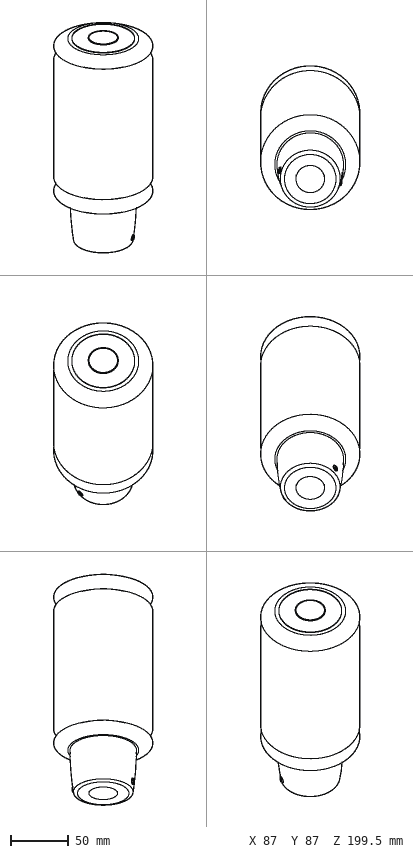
import cadquery as cq
import math

total_height = 199.5
body_diameter = 87.0
bore_diameter = 25.0

rim_diameter = 26.3
disc_diameter = 55.0
step_height = 0.5

neck_diameter = 62.2
flange_height = 14.2
cone_angle = 27.0
edge_radius = 1.2

plug_height = 41.9
plug_top_diameter = 58.2
plug_end_diameter = 52.3
bottom_diameter = 45.0
bottom_bevel_height = 1.2

pin_diameter = 5.5
pin_tip_radius = 28.1
pin_chamfer = 0.8
pin_height = 7.5

body_radius = body_diameter / 2
neck_radius = neck_diameter / 2
cone_slope = math.tan(math.radians(cone_angle))
lower_neck_z = plug_height + flange_height
flange_top_z = total_height - 2 * step_height
upper_neck_z = flange_top_z - flange_height


def revolve_profile(profile):
    """Close a radius-height outline and turn it around the Z axis."""
    return profile.close().revolve(360, (0, 0, 0), (0, 1, 0))


def cylinder(diameter, bottom_z, height):
    return cq.Workplane("XY").workplane(offset=bottom_z).circle(diameter / 2).extrude(height)


def make_flange(bottom_z):
    """Double cone whose outer edge is rounded down to the body radius."""
    half_height = flange_height / 2
    mid_z = bottom_z + half_height
    angle = math.radians(cone_angle)
    arc_center_radius = body_radius - edge_radius
    tangent_radius = arc_center_radius + edge_radius * math.sin(angle)
    tangent_rise = edge_radius * math.cos(angle)
    cone_end_radius = tangent_radius - (half_height - tangent_rise) / cone_slope
    return revolve_profile(
        cq.Workplane("XZ")
        .moveTo(0, bottom_z)
        .lineTo(cone_end_radius, bottom_z)
        .lineTo(tangent_radius, mid_z - tangent_rise)
        .threePointArc((body_radius, mid_z), (tangent_radius, mid_z + tangent_rise))
        .lineTo(cone_end_radius, bottom_z + flange_height)
        .lineTo(0, bottom_z + flange_height)
    )


def make_body():
    """Cylinder with a cone at each end and rounded cone edges."""
    cone_height = (body_radius - neck_radius) * cone_slope
    body = revolve_profile(
        cq.Workplane("XZ")
        .moveTo(0, lower_neck_z)
        .lineTo(neck_radius, lower_neck_z)
        .lineTo(body_radius, lower_neck_z + cone_height)
        .lineTo(body_radius, upper_neck_z - cone_height)
        .lineTo(neck_radius, upper_neck_z)
        .lineTo(0, upper_neck_z)
    )
    outer_edges = cq.selectors.RadiusNthSelector(-1)
    return body.edges("%CIRCLE").edges(outer_edges).fillet(edge_radius)


def plug_curve_midpoint():
    """Point halfway up the curved plug side, on an arc that is vertical at the flange."""
    curve_height = plug_height - bottom_bevel_height
    inset = (plug_top_diameter - plug_end_diameter) / 2
    arc_radius = (curve_height**2 + inset**2) / (2 * inset)
    half_height = curve_height / 2
    half_inset = arc_radius - math.sqrt(arc_radius**2 - half_height**2)
    return plug_top_diameter / 2 - half_inset, plug_height - half_height


def make_plug():
    """Plug that leaves the flange upright and curves inwards to its end."""
    top_radius = plug_top_diameter / 2
    return revolve_profile(
        cq.Workplane("XZ")
        .moveTo(0, 0)
        .lineTo(bottom_diameter / 2, 0)
        .lineTo(plug_end_diameter / 2, bottom_bevel_height)
        .threePointArc(plug_curve_midpoint(), (top_radius, plug_height))
        .lineTo(0, plug_height)
    )


part = make_plug().union(make_flange(plug_height)).union(make_body()).union(make_flange(upper_neck_z))

part = part.union(cylinder(disc_diameter, flange_top_z, step_height))
part = part.union(cylinder(rim_diameter, flange_top_z, 2 * step_height))

pin = (
    cq.Workplane("YZ")
    .center(0, pin_height)
    .circle(pin_diameter / 2)
    .extrude(pin_tip_radius, both=True)
    .edges("%CIRCLE")
    .chamfer(pin_chamfer)
)
part = part.union(pin)

result = part.cut(cylinder(bore_diameter, 0, total_height))